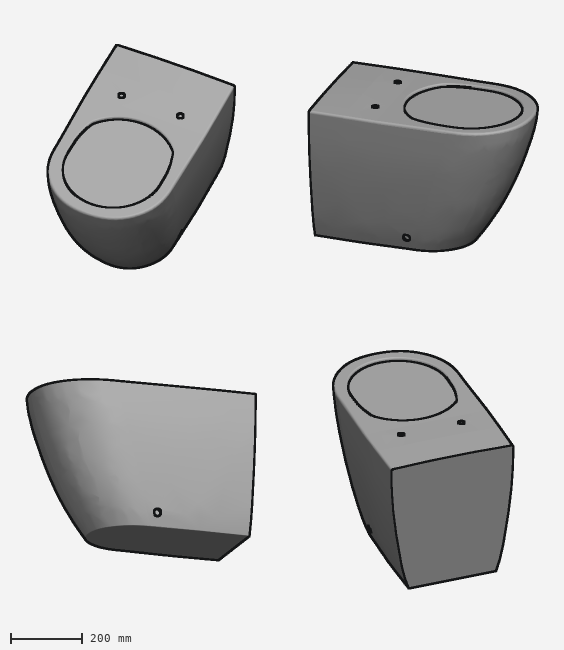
import cadquery as cq

total_height = 404.0
rim_height = 400.0
trim_overshoot = 6.0
loft_height = total_height + trim_overshoot
rim_fillet = 7.0
base_fillet = 2.5

body_levels = [
    (0, 132.5, 431.5, 0.71),
    (60, 150.0, 473.0, 0.72),
    (120, 161.0, 507.0, 0.73),
    (210, 173.5, 548.0, 0.73),
    (300, 182.0, 580.0, 0.73),
    (loft_height, 185.5, 601.5, 0.71),
]

nose_start_at_base = 295.0
nose_start_at_rim = 416.5
back_narrowing = 2.5
nose_narrowing = 3.5

crown_end = 104.0
crown_fade_end = 200.5
level_rise = 0.5
arch_half_span = 192

bowl_back = 227.5
bowl_front = 559.0
bowl_corner = (119.5, 282.0)
bowl_corner_direction = (0.66, -0.75)
bowl_side_points = [(129.0, 302.5), (138.5, 346.0)]
bowl_widest = (141.5, 414.0)
bowl_floor_height = 391.5
bowl_lip_fillet = 5.5

bolt_hole_diameter = 18.0
bolt_hole_spacing = 180.0
bolt_hole_distance = 164.5
bolt_hole_floor_height = 398.0

fixing_hole_diameter = 20.5
fixing_hole_distance = 276.0
fixing_hole_height = 39.5
fixing_hole_floor_half_width = 135.0


def nose_start_at(height):
    """Distance from the back at which the nose begins."""
    slope = (nose_start_at_rim - nose_start_at_base) / rim_height
    return nose_start_at_base + slope * height


def body_section(height, half_width, nose, fullness):
    """Outline at one height: flat back, slightly bulged sides and a rounded nose."""
    back_half = half_width - back_narrowing
    nose_half = half_width - nose_narrowing
    nose_start = nose_start_at(height)
    middle = nose_start / 2
    shoulder_x = fullness * nose_half
    shoulder_y = -nose_start - fullness * (nose - nose_start)
    return (
        cq.Workplane("XY", origin=(0, 0, height))
        .moveTo(-back_half, 0)
        .lineTo(back_half, 0)
        .spline(
            [(half_width, -middle), (nose_half, -nose_start)],
            tangents=[(back_narrowing, -middle), (0, -1)],
            includeCurrent=True,
        )
        .spline(
            [(shoulder_x, shoulder_y), (0, -nose)],
            tangents=[(0, -1), (-1, 0)],
            includeCurrent=True,
        )
        .spline(
            [(-shoulder_x, shoulder_y), (-nose_half, -nose_start)],
            tangents=[(-1, 0), (0, 1)],
            includeCurrent=True,
        )
        .spline(
            [(-half_width, -middle), (-back_half, 0)],
            tangents=[(0, 1), (back_narrowing, middle)],
            includeCurrent=True,
        )
        .close()
        .val()
    )


def arch_section(distance, rise):
    """Arched underside of the material trimmed off the top, at a distance from the back."""
    trim_top = loft_height + trim_overshoot
    return (
        cq.Workplane("XZ", origin=(0, -distance, 0))
        .moveTo(-arch_half_span, rim_height)
        .threePointArc((0, rim_height + rise), (arch_half_span, rim_height))
        .lineTo(arch_half_span, trim_top)
        .lineTo(-arch_half_span, trim_top)
        .close()
        .val()
    )


def make_top_trim():
    """Solid above the top face: full arch, then a fade, then the nearly level rim."""
    full_rise = total_height - rim_height
    stations = [
        (-trim_overshoot, full_rise),
        (crown_end, full_rise),
        (crown_fade_end, level_rise),
        (body_levels[-1][2] + trim_overshoot, level_rise),
    ]
    sections = [arch_section(*station) for station in stations]
    return cq.Workplane(cq.Solid.makeLoft(sections, True))


def make_body():
    """Tapered body with a crowned top, a rounded rim and a softened base edge."""
    body = cq.Workplane(cq.Solid.makeLoft([body_section(*level) for level in body_levels]))
    body = body.cut(make_top_trim())

    top_edges = body.edges(
        cq.selectors.BoxSelector(
            (-arch_half_span, -body_levels[-1][2], rim_height - rim_fillet),
            (arch_half_span, trim_overshoot, total_height),
        )
    )
    rim_edges = [edge for edge in top_edges.vals() if edge.BoundingBox().ylen > rim_fillet]
    body = body.newObject(rim_edges).fillet(rim_fillet)
    return body.faces("<Z").edges("not(>Y)").fillet(base_fillet)


def make_bowl_recess():
    """Recess with a shallow back arc, bulging sides and a half-ellipse front."""
    corner_x, corner_y = bowl_corner
    widest_x, widest_y = bowl_widest
    run_x, run_y = bowl_corner_direction
    right_side = [(x, -y) for x, y in bowl_side_points]
    left_side = [(-x, y) for x, y in reversed(right_side)]
    return (
        cq.Workplane("XY", origin=(0, 0, bowl_floor_height))
        .moveTo(-corner_x, -corner_y)
        .threePointArc((0, -bowl_back), (corner_x, -corner_y))
        .spline(
            right_side + [(widest_x, -widest_y)],
            tangents=[(run_x, run_y), (0, -1)],
            includeCurrent=True,
        )
        .ellipseArc(widest_x, bowl_front - widest_y, 180, 360, startAtCurrent=True, sense=-1)
        .spline(
            left_side + [(-corner_x, -corner_y)],
            tangents=[(0, 1), (run_x, -run_y)],
            includeCurrent=True,
        )
        .close()
        .extrude(total_height - bowl_floor_height)
    )


def cut_bowl(body):
    """Sink the bowl recess and round its lip."""
    body = body.cut(make_bowl_recess())
    lip_zone = cq.selectors.BoxSelector(
        (-bowl_widest[0], -bowl_front, rim_height - bowl_lip_fillet),
        (bowl_widest[0], -crown_fade_end - trim_overshoot, total_height),
    )
    return body.edges(lip_zone).fillet(bowl_lip_fillet)


def make_bolt_holes():
    """Pair of upright pins that sink the seat bolt holes."""
    return (
        cq.Workplane("XY", origin=(0, -bolt_hole_distance, bolt_hole_floor_height))
        .pushPoints([(-bolt_hole_spacing / 2, 0), (bolt_hole_spacing / 2, 0)])
        .circle(bolt_hole_diameter / 2)
        .extrude(total_height - bolt_hole_floor_height)
    )


def make_fixing_hole(side):
    """Sideways pin that sinks the hole on the left (side = -1) or the right (side = 1)."""
    return (
        cq.Workplane("YZ", origin=(side * fixing_hole_floor_half_width, 0, 0))
        .center(-fixing_hole_distance, fixing_hole_height)
        .circle(fixing_hole_diameter / 2)
        .extrude(side * (arch_half_span - fixing_hole_floor_half_width))
    )


result = cut_bowl(make_body()).cut(make_bolt_holes())
for side in (-1, 1):
    result = result.cut(make_fixing_hole(side))